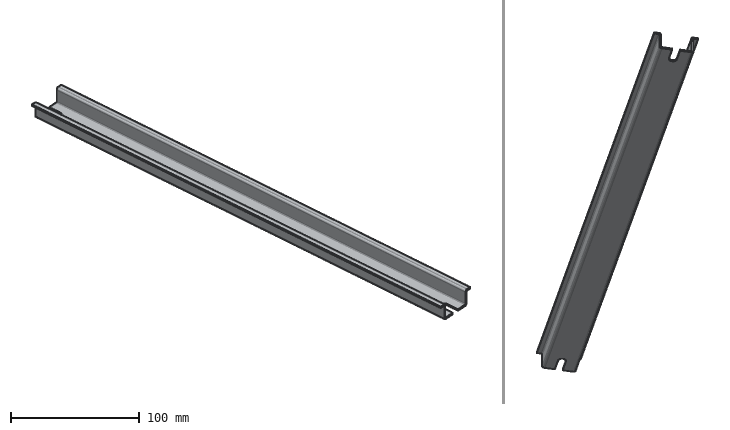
import cadquery as cq

LENGTH = 419.0
WIDTH = 35.0
HEIGHT = 15.0
CHANNEL_WIDTH = 27.0
THICKNESS = 1.5
FLOOR_INNER_RADIUS = 0.5
FLOOR_OUTER_RADIUS = FLOOR_INNER_RADIUS + THICKNESS
FLANGE_INNER_RADIUS = 0.8
FLANGE_OUTER_RADIUS = 1.8
SLOT_WIDTH = 6.2
SLOT_LENGTH = 14.5

HALF_WIDTH = WIDTH / 2
OUTER_WALL = CHANNEL_WIDTH / 2
INNER_WALL = OUTER_WALL - THICKNESS
FLANGE_UNDERSIDE = HEIGHT - THICKNESS
EDGE_TOLERANCE = 0.01


def round_bend(body, y, z, radius):
    """Fillet the two lengthwise edges at height z, at distance y either side of the centre plane."""
    left, right = [
        cq.selectors.BoxSelector(
            (-LENGTH, side * y - EDGE_TOLERANCE, z - EDGE_TOLERANCE),
            (LENGTH, side * y + EDGE_TOLERANCE, z + EDGE_TOLERANCE),
        )
        for side in (-1, 1)
    ]
    return body.edges("|X").edges(left + right).fillet(radius)


def make_rail():
    """Top-hat section extruded along X, with rounded sheet bends."""
    outline = [
        (-HALF_WIDTH, HEIGHT),
        (-INNER_WALL, HEIGHT),
        (-INNER_WALL, THICKNESS),
        (INNER_WALL, THICKNESS),
        (INNER_WALL, HEIGHT),
        (HALF_WIDTH, HEIGHT),
        (HALF_WIDTH, FLANGE_UNDERSIDE),
        (OUTER_WALL, FLANGE_UNDERSIDE),
        (OUTER_WALL, 0),
        (-OUTER_WALL, 0),
        (-OUTER_WALL, FLANGE_UNDERSIDE),
        (-HALF_WIDTH, FLANGE_UNDERSIDE),
    ]
    rail = cq.Workplane("YZ").polyline(outline).close().extrude(LENGTH / 2, both=True)
    rail = round_bend(rail, INNER_WALL, THICKNESS, FLOOR_INNER_RADIUS)
    rail = round_bend(rail, OUTER_WALL, 0, FLOOR_OUTER_RADIUS)
    rail = round_bend(rail, OUTER_WALL, FLANGE_UNDERSIDE, FLANGE_INNER_RADIUS)
    return round_bend(rail, INNER_WALL, HEIGHT, FLANGE_OUTER_RADIUS)


def make_end_slot(side):
    """Cutter for the open, round-ended slot in the floor at one end (side is -1 or 1)."""
    return (
        cq.Workplane("XY")
        .center(side * LENGTH / 2, 0)
        .slot2D(2 * SLOT_LENGTH, SLOT_WIDTH)
        .extrude(THICKNESS)
    )


result = make_rail()
for end in (-1, 1):
    result = result.cut(make_end_slot(end))